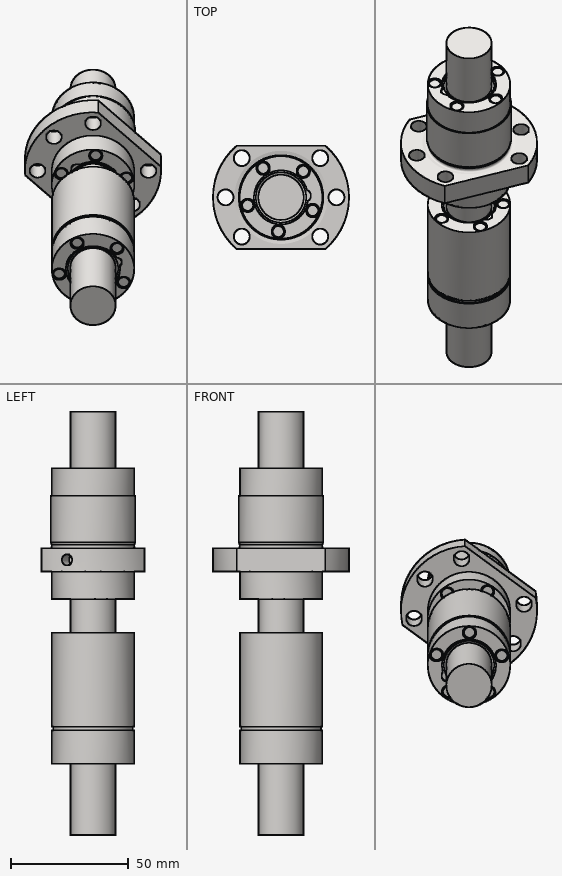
import cadquery as cq
import math

shaft_length = 180.0
shaft_radius = 9.63

nut_length = 55.8
body_diameter = 35.1
body_radius = body_diameter / 2

counterbore_radius = 11.5
counterbore_depth = 0.9
bore_mouth_radius = 10.71
mouth_depth = 0.5
notch_radius = 2.5
notch_center_distance = 10.3
notch_angle = 4.0

recess_count = 5
recess_circle_radius = 14.5
recess_rim_radius = 2.9
recess_floor_radius = 2.3
recess_depth = 0.4
recess_start_angle = 49.5

flanged_nut_base = 100.3
flange_base = flanged_nut_base + 11.7
flange_thickness = 10.0
flange_top = flange_base + flange_thickness
flange_radius = 29.0
flange_width = 44.0
collar_radius = 18.0
collar_top = 144.2
neck_radius = 17.6
neck_height = 2.5
neck_taper_height = 1.0
undercut_outer_radius = 19.8
undercut_depth = 0.4
undercut_fillet = 0.7

bolt_circle_radius = 23.5
bolt_hole_diameter = 6.7
bolt_angles = [0, 45, 135, 180, 225, 315]
oil_hole_radius = 2.3
oil_hole_depth = 8.1
oil_hole_angle = 157.5

plain_nut_base = 30.2
plain_nut_turn = 112.0
groove_base = 44.5
groove_width = 1.6
groove_depth = 0.5


def cylinder(radius, height, base=0.0):
    return cq.Workplane("XY").workplane(offset=base).circle(radius).extrude(height)


def polar(radius, angle):
    return (radius * math.cos(math.radians(angle)), radius * math.sin(math.radians(angle)))


def end_cutter():
    """Everything removed from a nut end whose face lies on z = 0 and whose material is below it."""
    cutter = (
        cq.Workplane("XZ")
        .moveTo(0, 0)
        .lineTo(counterbore_radius, 0)
        .lineTo(counterbore_radius, -counterbore_depth)
        .lineTo(bore_mouth_radius, -counterbore_depth)
        .lineTo(shaft_radius, -counterbore_depth - mouth_depth)
        .lineTo(0, -counterbore_depth - mouth_depth)
        .close()
        .revolve(360, (0, 0, 0), (0, 1, 0))
    )
    notch = cylinder(notch_radius, counterbore_depth, -counterbore_depth)
    notch_x, notch_y = polar(notch_center_distance, notch_angle)
    cutter = cutter.union(notch.translate((notch_x, notch_y, 0)))
    for index in range(recess_count):
        angle = recess_start_angle + index * 360 / recess_count
        x, y = polar(recess_circle_radius, angle)
        recess = cq.Solid.makeCone(
            recess_floor_radius, recess_rim_radius, recess_depth, cq.Vector(x, y, -recess_depth)
        )
        cutter = cutter.union(cq.Workplane(recess))
    return cutter


def finish_nut(blank, base, turn=0.0):
    """Bore the blank for the shaft and cut both of its end faces, turned about the axis."""
    top_cutter = end_cutter()
    bottom_cutter = top_cutter.mirror("XY")
    bore = cylinder(shaft_radius, nut_length, base)
    nut = blank.cut(bore)
    for cutter, height in ((top_cutter, base + nut_length), (bottom_cutter, base)):
        nut = nut.cut(cutter.rotate((0, 0, 0), (0, 0, 1), turn).translate((0, 0, height)))
    return nut


def make_shaft():
    return cylinder(shaft_radius, shaft_length)


def make_flange():
    flange = cylinder(flange_radius, flange_thickness, flange_base)
    flats = cq.Workplane("XY").workplane(offset=flange_base).rect(2 * flange_radius, flange_width)
    flange = flange.intersect(flats.extrude(flange_thickness))
    for angle in bolt_angles:
        x, y = polar(bolt_circle_radius, angle)
        bolt_hole = cylinder(bolt_hole_diameter / 2, flange_thickness, flange_base)
        flange = flange.cut(bolt_hole.translate((x, y, 0)))
    start_x, start_y = polar(flange_radius + oil_hole_radius, oil_hole_angle)
    inward_x, inward_y = polar(-1, oil_hole_angle)
    oil_hole = cq.Solid.makeCylinder(
        oil_hole_radius,
        oil_hole_depth + oil_hole_radius,
        cq.Vector(start_x, start_y, flange_base + flange_thickness / 2),
        cq.Vector(inward_x, inward_y, 0),
    )
    return flange.cut(cq.Workplane(oil_hole))


def make_undercut():
    """Relief ring at the foot of the collar: a tapered neck rounded into a shallow cone in the flange."""
    neck_top = flange_top + neck_height
    return (
        cq.Workplane("XZ")
        .moveTo(collar_radius, neck_top)
        .lineTo(neck_radius, neck_top - neck_taper_height)
        .lineTo(neck_radius, flange_top - undercut_depth)
        .lineTo(undercut_outer_radius, flange_top)
        .lineTo(undercut_outer_radius, neck_top)
        .close()
        .revolve(360, (0, 0, 0), (0, 1, 0))
        .edges("<Z")
        .fillet(undercut_fillet)
    )


def make_flanged_nut():
    body = cylinder(body_radius, nut_length, flanged_nut_base)
    collar = cylinder(collar_radius, collar_top - flange_top, flange_top)
    blank = body.union(make_flange()).union(collar).cut(make_undercut())
    return finish_nut(blank, flanged_nut_base)


def make_plain_nut():
    body = cylinder(body_radius, nut_length, plain_nut_base)
    groove = cylinder(body_radius, groove_width, groove_base).cut(
        cylinder(body_radius - groove_depth, groove_width, groove_base)
    )
    return finish_nut(body.cut(groove), plain_nut_base, plain_nut_turn)


shaft = make_shaft()
flanged_nut = make_flanged_nut()
plain_nut = make_plain_nut()

result = cq.Compound.makeCompound([shaft.val(), flanged_nut.val(), plain_nut.val()])